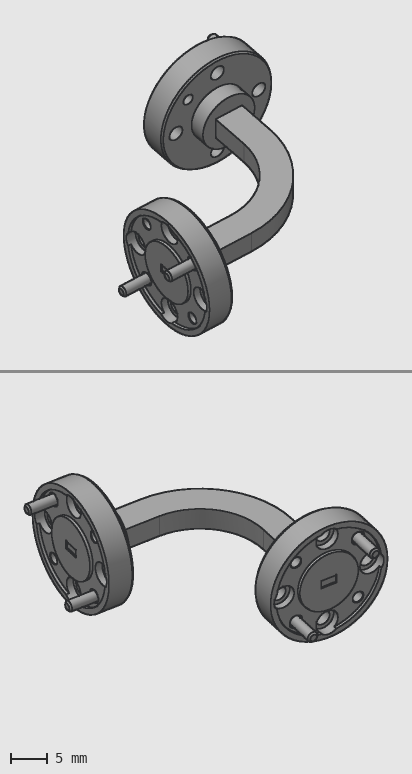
import cadquery as cq


overall_length = 38.8
flange_diameter = 19.05

flange_thickness = 4.07
back_edge_width = 0.3
back_edge_height = 0.2
hub_diameter = 8.92
hub_length = 2.52

boss_diameter = 9.5
rim_inner_diameter = 17.15
recess_depth = 0.5

window_width = 2.52
window_height = 1.28
window_depth = 0.25

bolt_circle_diameter = 14.28
screw_hole_diameter = 2.25
counterbore_diameter = 3.57
counterbore_depth = 1.6
pin_hole_diameter = 1.63
hole_mouth_diameter = 1.8
hole_mouth_depth = 0.08
pin_diameter = 1.63
pin_mouth_diameter = 2.1
pin_mouth_depth = 0.25
pin_projection = 3.88
pin_chamfer = 0.27
screw_angles = (0, 90, 180, 270)
pin_angles = (45, 225)
pin_hole_angles = (135, 315)

tube_width = 4.58
tube_height = 3.4
bend_radius = 12.55

face_distance = overall_length - flange_diameter / 2 - pin_projection
hub_end_distance = face_distance - flange_thickness - hub_length


def disc(diameter, start, length):
    """Cylinder on the Z axis from height start."""
    return cq.Workplane("XY").workplane(offset=start).circle(diameter / 2).extrude(length)


def countersink(top_diameter, bottom_diameter, depth):
    """Cone on the Z axis, narrowing downward from the floor of the recessed ring."""
    top = cq.Workplane("XY").workplane(offset=-recess_depth).circle(top_diameter / 2)
    return top.workplane(offset=-depth).circle(bottom_diameter / 2).loft()


def on_bolt_circle(tool, angles):
    """Copies of a tool on the Z axis, moved to the bolt circle at the given angles."""
    placed = cq.Workplane("XY")
    for angle in angles:
        copy = tool.translate((bolt_circle_diameter / 2, 0, 0)).rotate((0, 0, 0), (0, 0, 1), angle)
        placed = placed.add(copy)
    return placed.combine()


def make_flange():
    """Flange on the Z axis, its front face at Z = 0 and facing +Z."""
    body = disc(flange_diameter, -flange_thickness, flange_thickness)
    body = body.faces("<Z").chamfer(back_edge_width, back_edge_height)
    body = body.union(disc(hub_diameter, -flange_thickness - hub_length, hub_length))

    ring = disc(rim_inner_diameter, -recess_depth, recess_depth)
    ring = ring.cut(disc(boss_diameter, -recess_depth, recess_depth))
    window = cq.Workplane("XY").rect(window_width, window_height).extrude(-window_depth)
    body = body.cut(ring).cut(window)

    screw_hole = disc(screw_hole_diameter, -flange_thickness, flange_thickness)
    screw_hole = screw_hole.union(disc(counterbore_diameter, -counterbore_depth, counterbore_depth))
    body = body.cut(on_bolt_circle(screw_hole, screw_angles))

    pin_hole = disc(pin_hole_diameter, -flange_thickness, flange_thickness - recess_depth)
    pin_hole = pin_hole.union(countersink(hole_mouth_diameter, pin_hole_diameter, hole_mouth_depth))
    body = body.cut(on_bolt_circle(pin_hole, pin_hole_angles))

    pin_mouth = countersink(pin_mouth_diameter, pin_diameter, pin_mouth_depth)
    body = body.cut(on_bolt_circle(pin_mouth, pin_angles))
    pin = disc(pin_diameter, -flange_thickness, flange_thickness + pin_projection)
    pin = pin.faces(">Z").chamfer(pin_chamfer)
    return body.union(on_bolt_circle(pin, pin_angles))


def make_tube():
    """Tube from hub to hub, swept along two straights and a quarter bend."""
    path = (
        cq.Workplane("XY")
        .moveTo(-hub_end_distance, 0)
        .lineTo(-bend_radius, 0)
        .tangentArcPoint((0, -bend_radius), relative=False)
        .lineTo(0, -hub_end_distance)
    )
    section = cq.Workplane("YZ", origin=(-hub_end_distance, 0, 0)).rect(tube_width, tube_height)
    return section.sweep(path)


front_flange = make_flange().rotate((0, 0, 0), (1, 0, 0), 90).translate((0, -face_distance, 0))
side_flange = front_flange.mirror(cq.Vector(1, -1, 0))

result = make_tube().union(front_flange).union(side_flange)